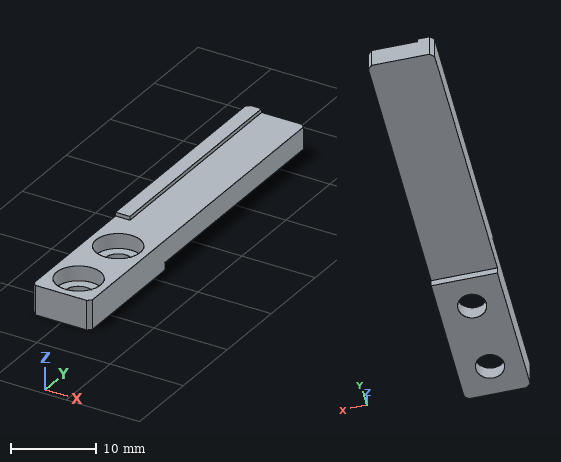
import cadquery as cq

width = 8.0
length = 49.0
body_top = 4.0
corner_chamfer = 0.5

rail_width = 2.0
rail_height = 0.5
rail_length = 30.0

foot_length = 17.0
relief_depth = 1.0

hole_diameter = 3.4
counterbore_diameter = 6.0
counterbore_depth = 2.0
first_hole_y = 4.0
hole_pitch = 9.0
hole_count = 2


def corner_box(size_x, size_y, size_z, x=0.0, y=0.0, z=0.0):
    """Box whose minimum corner sits at (x, y, z)."""
    return cq.Workplane("XY").box(size_x, size_y, size_z, centered=False).translate((x, y, z))


def make_bar():
    """Stepped bar with its rail and chamfered vertical corners."""
    total_height = body_top + rail_height
    blank = corner_box(width, length, total_height).edges("|Z").chamfer(corner_chamfer)
    above_foot = corner_box(width, length - rail_length, rail_height, z=body_top)
    beside_rail = corner_box(width - rail_width, length, rail_height, x=rail_width, z=body_top)
    relief = corner_box(width, length - foot_length, relief_depth, y=foot_length)
    return blank.cut(above_foot).cut(beside_rail).cut(relief)


def cut_screw_holes(bar):
    """Row of counterbored through holes on the bar's centreline."""
    centres = [(width / 2, first_hole_y + i * hole_pitch) for i in range(hole_count)]
    return (
        bar.copyWorkplane(cq.Workplane("XY", origin=(0, 0, body_top)))
        .pushPoints(centres)
        .cboreHole(hole_diameter, counterbore_diameter, counterbore_depth)
    )


result = cut_screw_holes(make_bar())